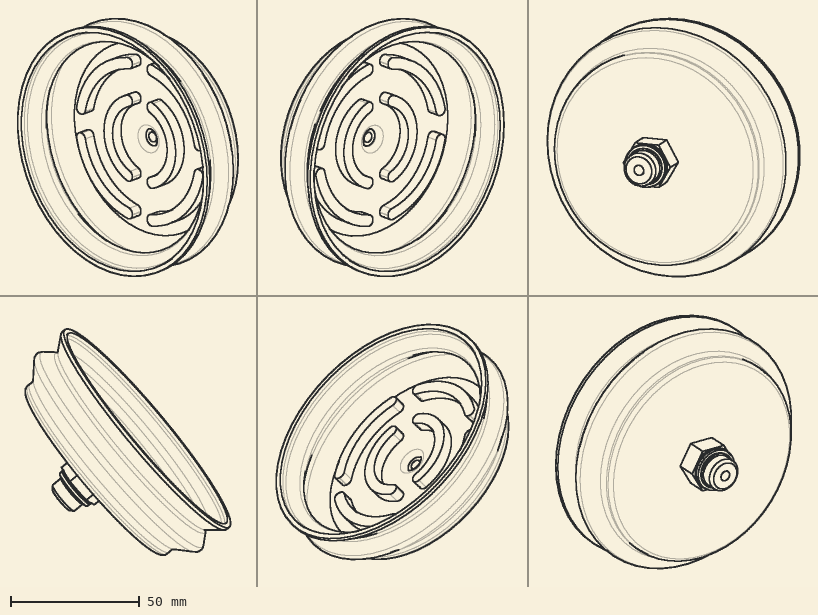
import cadquery as cq
import math

rim_radius = 50.0
rim_edge = 1.5
waist_radius = 45.1
waist_side_radius = 45.5
waist_start = 7.0
waist_end = 8.8
bulge_radius = 49.8
bulge_start = 13.1
bulge_end = 15.9
bulge_side_radius = 49.2
shoulder_radius = 43.4
shoulder_start = 21.4
collar_radius = 42.5
collar_start = 24.3
back_y = 27.0
collar_round = 1.5

mouth_radius = 48.0
lip_depth = 1.5
lip_round_radius = 47.3
lip_round_end = 2.6
throat_radius = 42.5
throat_side_radius = 43.1
throat_start = 6.0
throat_end = 8.8
chamber_radius = 46.6
chamber_side_radius = 46.0
chamber_start = 12.5
chamber_end = 15.0
floor_radius = 39.0
floor_y = 20.7

rib_height = 4.9
rib_gap = 3.9
rib_end_round = 2.2
outer_rib_inside = 29.3
outer_rib_outside = 33.9
inner_rib_inside = 14.4
inner_rib_outside = 18.9

hex_flats = 17.0
hex_end = 35.5
collar_face_end = 36.1
groove_radius = 7.8
washer_start = 36.3
washer_end = 37.7
washer_radius = 8.4
step_radius = 7.2
step_end = 38.1
neck_radius = 6.0
thread_start = 38.5
thread_radius = 6.6
tip_y = 44.0
tip_chamfer = 1.2

bore_radius = 2.0
recess_radius = 3.5
recess_depth = 2.5
mouth_round = 2.1


def disc(radius, y_start, y_end):
    """Solid cylinder about the Y axis between two stations."""
    return cq.Workplane("XZ", origin=(0, y_start, 0)).circle(radius).extrude(y_start - y_end)


def revolve_about_y(profile):
    return profile.close().revolve(360, (0, 0, 0), (0, 1, 0))


def bellows():
    outer = (
        cq.Workplane("XY")
        .moveTo(0, 0)
        .lineTo(rim_radius, 0)
        .lineTo(rim_radius, rim_edge)
        .lineTo(waist_side_radius, waist_start)
        .threePointArc((waist_radius, (waist_start + waist_end) / 2), (waist_side_radius, waist_end))
        .lineTo(bulge_side_radius, bulge_start)
        .threePointArc((bulge_radius, (bulge_start + bulge_end) / 2), (bulge_side_radius, bulge_end))
        .lineTo(shoulder_radius, shoulder_start)
        .tangentArcPoint((collar_radius, collar_start), relative=False)
        .lineTo(collar_radius, back_y - collar_round)
        .tangentArcPoint((collar_radius - collar_round, back_y), relative=False)
        .lineTo(0, back_y)
    )
    cavity = (
        cq.Workplane("XY")
        .moveTo(0, 0)
        .lineTo(mouth_radius, 0)
        .lineTo(mouth_radius, lip_depth)
        .tangentArcPoint((lip_round_radius, lip_round_end), relative=False)
        .lineTo(throat_side_radius, throat_start)
        .threePointArc((throat_radius, (throat_start + throat_end) / 2), (throat_side_radius, throat_end))
        .lineTo(chamber_side_radius, chamber_start)
        .threePointArc(
            (chamber_radius, (chamber_start + chamber_end) / 2),
            (chamber_side_radius, chamber_end),
        )
        .lineTo(floor_radius, floor_y)
        .lineTo(0, floor_y)
    )
    return revolve_about_y(outer).cut(revolve_about_y(cavity))


def rib(inside, outside, lowest_z):
    """Rib on the +X side, cut off at x = rib_gap and at z = lowest_z, with rounded ends."""
    ring = disc(outside, floor_y - rib_height, floor_y).cut(disc(inside, floor_y - rib_height, floor_y))
    keep = cq.Workplane("XY").box(outside, back_y, outside - lowest_z, centered=False)
    segment = ring.intersect(keep.translate((rib_gap, 0, lowest_z)))
    return segment.edges("|Y").fillet(rib_end_round)


def ribs():
    outer = rib(outer_rib_inside, outer_rib_outside, rib_gap)
    inner = rib(inner_rib_inside, inner_rib_outside, -inner_rib_outside)
    right_side = outer.union(outer.mirror("XY")).union(inner)
    return right_side.union(right_side.mirror("YZ"))


def fitting():
    corner_diameter = hex_flats / math.cos(math.pi / 6)
    hexagon = (
        cq.Workplane("XZ", origin=(0, back_y, 0))
        .polygon(6, corner_diameter)
        .extrude(back_y - hex_end)
    )
    thread = disc(thread_radius, thread_start, tip_y).faces(">Y").chamfer(tip_chamfer)
    return (
        hexagon
        .union(disc(hex_flats / 2, hex_end, collar_face_end))
        .union(disc(groove_radius, collar_face_end, washer_start))
        .union(disc(washer_radius, washer_start, washer_end))
        .union(disc(step_radius, washer_end, step_end))
        .union(disc(neck_radius, step_end, thread_start))
        .union(thread)
    )


def air_passage():
    recess_end = floor_y + recess_depth
    profile = (
        cq.Workplane("XY")
        .moveTo(0, floor_y)
        .lineTo(recess_radius + mouth_round, floor_y)
        .radiusArc((recess_radius, floor_y + mouth_round), mouth_round)
        .lineTo(recess_radius, recess_end)
        .lineTo(bore_radius, recess_end)
        .lineTo(bore_radius, tip_y)
        .lineTo(0, tip_y)
    )
    return revolve_about_y(profile)


result = bellows().union(ribs()).union(fitting()).cut(air_passage())